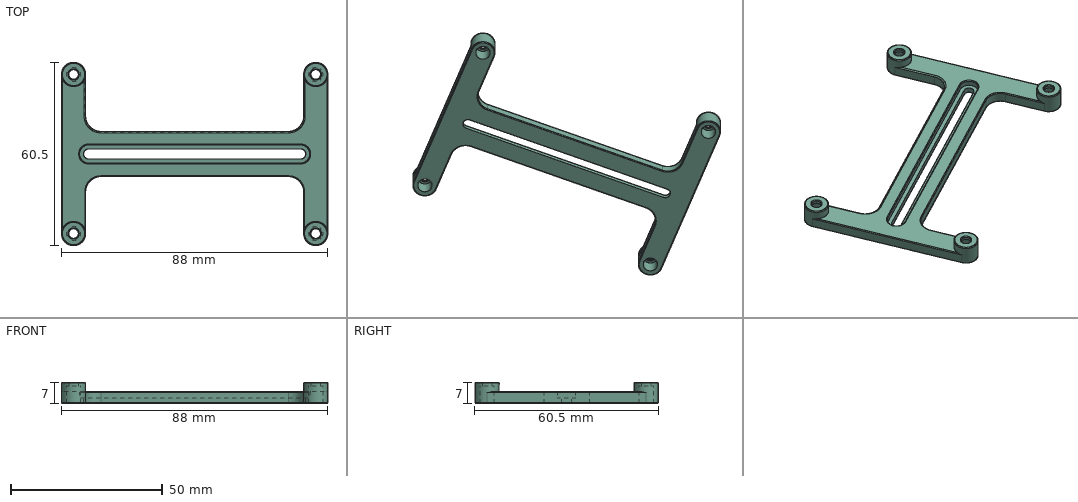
import cadquery as cq

length = 88.0
width = 60.5
height = 7.0
plate_thickness = 4.0
edge_chamfer = 0.3
wide_chamfer = 0.5

boss_diameter = 8.0
hole_diameter = 3.2
counterbore_diameter = 4.7
counterbore_depth = 5.8
boss_x = (length - boss_diameter) / 2
boss_y = (width - boss_diameter) / 2
boss_centers = [(sx * boss_x, sy * boss_y) for sx in (-1, 1) for sy in (-1, 1)]

crossbar_width = 15.0
inner_corner_radius = 5.0

slot_end_x = 35.0
slot_width = 3.3
recess_width = 6.0
recess_depth = 2.0

on_base = (True, True, False)
margin = 0.1


def leg(x):
    """Straight leg along Y that ends at the boss centres, where the bosses round it off."""
    return cq.Workplane("XY").center(x, 0).box(boss_diameter, 2 * boss_y, plate_thickness, centered=on_base)


def boss(center):
    """Round corner boss over the full height, with its top and bottom rims chamfered."""
    post = cq.Workplane("XY").center(*center).circle(boss_diameter / 2).extrude(height)
    return post.faces("<Z or >Z").edges().chamfer(edge_chamfer)


def screw_hole(center):
    """Through hole counterbored from the underside, with its top mouth chamfered."""
    base = cq.Workplane("XY").center(*center)
    hole = base.circle(hole_diameter / 2).extrude(height)
    counterbore = base.circle(counterbore_diameter / 2).extrude(counterbore_depth)
    mouth = cq.Solid.makeCone(
        hole_diameter / 2,
        hole_diameter / 2 + edge_chamfer,
        edge_chamfer,
        pnt=cq.Vector(*center, height - edge_chamfer),
    )
    return hole.union(counterbore).union(cq.Workplane(mouth))


def slot_cut(cut_width, depth):
    """Round-ended cutter with fixed end centres, sunk from the plate's top face."""
    plane = cq.Workplane("XY").workplane(offset=plate_thickness)
    return plane.slot2D(2 * slot_end_x + cut_width, cut_width).extrude(-depth)


def zone(half_x, y_min, y_max, z_min=0.0):
    """Selector for edges centred in a block around X = 0, up to the plate's top face."""
    return cq.selectors.BoxSelector(
        (-half_x - margin, y_min - margin, z_min - margin),
        (half_x + margin, y_max + margin, plate_thickness + margin),
    )


plate = cq.Workplane("XY").box(2 * boss_x, crossbar_width, plate_thickness, centered=on_base)
for x in (-boss_x, boss_x):
    plate = plate.union(leg(x))
inner_x = boss_x - boss_diameter / 2
crossbar_y = crossbar_width / 2
plate = plate.edges("|Z").edges(zone(inner_x, -crossbar_y, crossbar_y)).fillet(inner_corner_radius)

plate = plate.cut(slot_cut(recess_width, recess_depth))

leg_ends = zone(length / 2, boss_y, boss_y) + zone(length / 2, -boss_y, -boss_y)
wide_rim = zone(inner_x, crossbar_y, boss_y - boss_diameter / 2, plate_thickness)
plain_rim = cq.selectors.StringSyntaxSelector("not |Z") - leg_ends - wide_rim
plate = plate.faces("<Z or >Z").edges(plain_rim).chamfer(edge_chamfer)
plate = plate.edges(wide_rim).chamfer(wide_chamfer, edge_chamfer)

plate = plate.cut(slot_cut(slot_width, plate_thickness))

result = plate
for center in boss_centers:
    result = result.union(boss(center))
for center in boss_centers:
    result = result.cut(screw_hole(center))